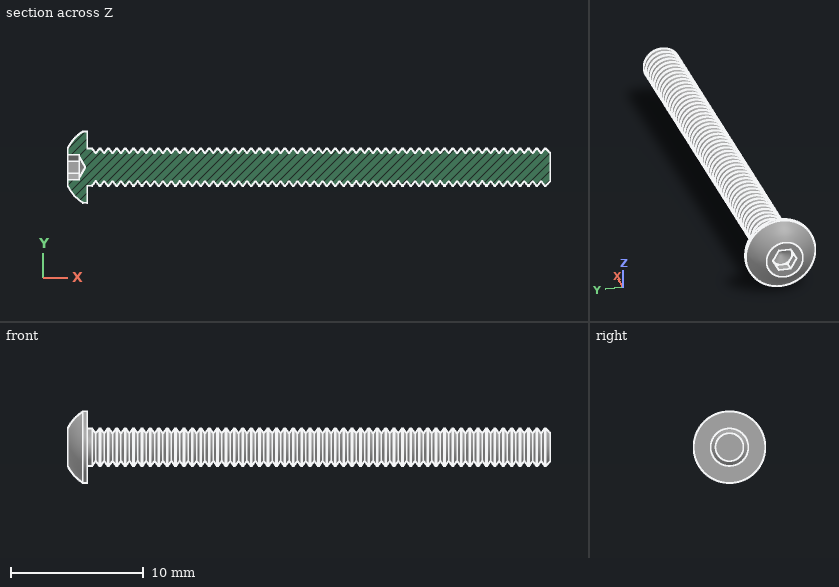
import cadquery as cq
import math

total_length = 36.42

head_diameter = 5.43
head_height = 1.5
rim_thickness = 0.33
head_face_radius = 1.42

thread_radius = 1.42
root_radius = 1.05
neck_length = 0.35
crest_width = 0.09
groove_count = 54
end_chamfer_length = 0.345

socket_across_flats = 1.6
socket_depth = 0.87
socket_tip_angle = 120.0

head_radius = head_diameter / 2
rim_start = head_height - rim_thickness
dome_center = (rim_start**2 + head_radius**2 - head_face_radius**2) / (2 * rim_start)
dome_radius = math.hypot(dome_center, head_face_radius)
dome_mid_x = rim_start / 2
dome_mid_radius = math.sqrt(dome_radius**2 - (dome_center - dome_mid_x) ** 2)

chamfer_start = total_length - end_chamfer_length
thread_start = head_height + neck_length
pitch = (chamfer_start - thread_start) / groove_count
flank_length = (pitch - crest_width) / 2


def screw_body():
    """Revolve the head, plain neck, thread rings and chamfered end about X."""
    outline = (
        cq.Workplane("XY")
        .lineTo(0, head_face_radius)
        .threePointArc((dome_mid_x, dome_mid_radius), (rim_start, head_radius))
        .lineTo(head_height, head_radius)
        .lineTo(head_height, thread_radius)
    )
    for index in range(groove_count):
        groove_start = thread_start + index * pitch
        outline = (
            outline.lineTo(groove_start, thread_radius)
            .lineTo(groove_start + flank_length, root_radius)
            .lineTo(groove_start + 2 * flank_length, thread_radius)
        )
    outline = (
        outline.lineTo(chamfer_start, thread_radius)
        .lineTo(total_length, root_radius)
        .lineTo(total_length, 0)
        .close()
    )
    return outline.revolve(360, (0, 0, 0), (1, 0, 0))


def hex_socket():
    """Hexagonal recess with flats facing +Z and -Z, ending in a drill-point cone."""
    corner_diameter = 2 * socket_across_flats / math.sqrt(3)
    cone_radius = socket_across_flats / 2
    cone_depth = cone_radius / math.tan(math.radians(socket_tip_angle / 2))
    prism = cq.Workplane("YZ").polygon(6, corner_diameter).extrude(socket_depth)
    drill_point = (
        cq.Workplane("XY")
        .moveTo(socket_depth, 0)
        .lineTo(socket_depth, cone_radius)
        .lineTo(socket_depth + cone_depth, 0)
        .close()
        .revolve(360, (0, 0, 0), (1, 0, 0))
    )
    return prism.union(drill_point)


result = screw_body().cut(hex_socket())